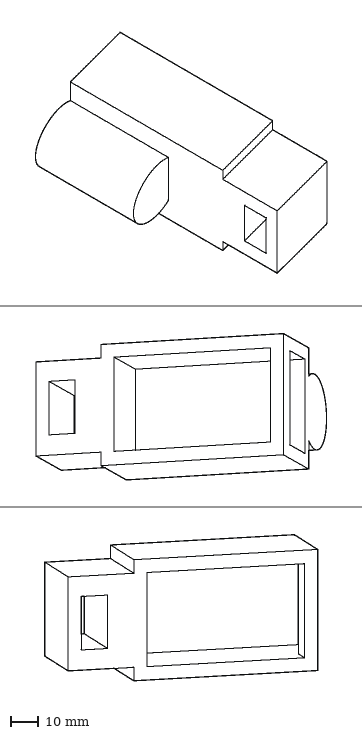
import cadquery as cq

total_length = 95.0
body_length = 70.0
body_depth = 30.0
body_height = 45.0
wall = 5.0
neck_height = body_height - 2 * wall

bar_radius = 14.0
bar_length = 45.0
bar_axis_offset = 7.0

cavity_front_wall = 4.8
mouth_depth = 17.2
cavity_height = body_height - 2 * wall
cavity_length = body_length - wall

window_width = 10.0
window_height = 19.9


def box_from(x, y, length, depth, height):
    """Box with its -X, -Y corner at x, y, centred on Z = 0."""
    return (
        cq.Workplane("XY")
        .box(length, depth, height, centered=(False, False, True))
        .translate((x, y, 0))
    )


body = box_from(0, 0, body_length, body_depth, body_height)
neck = box_from(0, 0, total_length, body_depth, neck_height)
bar = (
    cq.Workplane("YZ")
    .center(-bar_axis_offset, 0)
    .circle(bar_radius)
    .extrude(bar_length)
)

bar_trim = box_from(0, 0, bar_length, body_depth, body_height)

mouth = box_from(0, cavity_front_wall, cavity_length, mouth_depth, cavity_height)
back_opening = box_from(
    wall, cavity_front_wall, cavity_length - wall, body_depth - cavity_front_wall, cavity_height
)
window = box_from(
    total_length - wall - window_width, 0, window_width, body_depth, window_height
)

housing = body.union(neck).cut(mouth).cut(back_opening).cut(window)
result = housing.union(bar.cut(bar_trim))